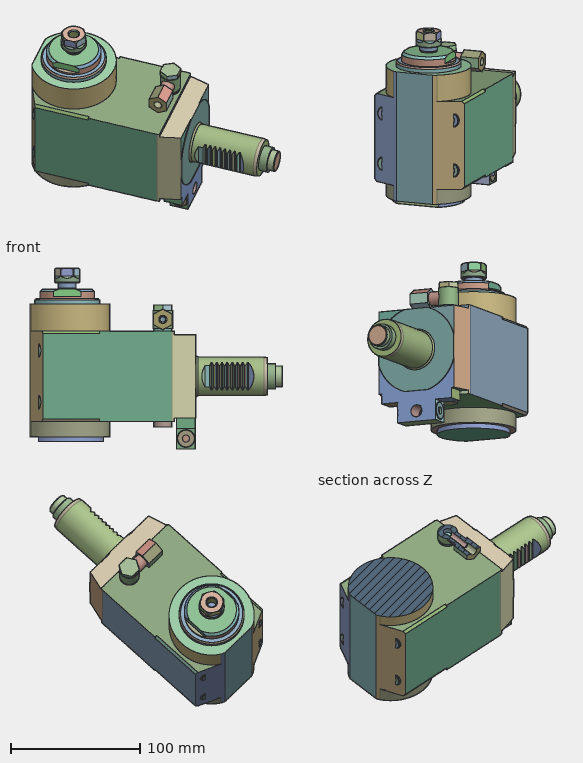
import cadquery as cq
import math


BLOCK_HALF_WIDTH = 75.0 / 2
BLOCK_HALF_HEIGHT = 35.0
FLAT_FACE_X = -29.0
FLAT_HALF_WIDTH = 15.0
CORNER_FACE_X = -18.8
TAPER_START_X = 81.1
STEP_X = 83.1
NECK_END_X = 99.4
NECK_HALF_WIDTH = 32.5
NECK_HALF_HEIGHT = 32.3
EDGE_CHAMFER = 2.0
EDGE_CHAMFER_END_X = 24.9
END_DISC_RADIUS = 34.0
SHOULDER_X = 100.0

HOUSING_RADIUS = 66.0 / 2
HOUSING_TOP = 56.0
HOUSING_BOTTOM = -46.8
COVER_RADIUS = 28.2
COVER_BOTTOM = -50.5
COVER_FLAT_X = -22.3

FLANGE_RADIUS = 25.3
FLANGE_TOP = 60.2
FLANGE_CHAMFER = 1.2
NUT_RADIUS = 21.2
NUT_TOP = 67.6
NUT_CHAMFER = 2.0
NUT_FLAT_HALF_WIDTH = 18.2
NUT_FLAT_BOTTOM = 61.7
STEM_RADIUS = 14.0 / 2
STEM_NECK_RADIUS = 6.5
STEM_NECK_TOP = 68.6

SCREW_HEAD_RADIUS = 9.8
SCREW_HEAD_BOTTOM = 72.3
SCREW_FLAT_BOTTOM = 77.6
SCREW_TOP = 83.9
SCREW_ACROSS_FLATS = 17.2
SCREW_COLLAR_ACROSS_FLATS = 20.0
SCREW_RUN_OUT = 2.0
SCREW_TOP_CHAMFER = 1.0
SCREW_BOTTOM_CHAMFER = 0.5
SCREW_BORE_RADIUS = 3.7
SCREW_BORE_CHAMFER = 0.8
SCREW_BORE_DEPTH = 9.8

FACE_SCREW_RADIUS = 6.0
FACE_SCREW_Y = 27.8
FACE_SCREW_Z = 20.0
FACE_SCREW_X = -22.3
FACE_SCREW_LENGTH = 9.8
FACE_SCREW_CHAMFER = 0.5
FACE_SOCKET_ACROSS_FLATS = 5.0
FACE_SOCKET_DEPTH = 3.0

SHANK_RADIUS = 30.0 / 2
SHANK_END_X = 155.0
SHANK_END_LENGTH = 2.7
SHANK_END_RADIUS = 14.5
COLLAR_END_RADIUS = 16.0
SHANK_COLLAR_LENGTH = 1.5
PILOT_RADIUS = 19.8 / 2
PILOT_END_X = 161.5
DRIVE_RADIUS = 16.3 / 2
DRIVE_END_X = 167.0
DRIVE_CHAMFER = 0.5

TOOTH_TIP_Y = -12.5
TOOTH_DEPTH = 1.86
GROOVE_COUNT = 8
FIRST_GROOVE_X = 112.0
LAST_GROOVE_X = 140.0
TOOTH_PITCH = (LAST_GROOVE_X - FIRST_GROOVE_X) / (GROOVE_COUNT - 1)
GROOVE_TOP_WIDTH = 3.1
GROOVE_BOTTOM_WIDTH = 0.8
FLAT_START_X = 106.8

ELBOW_X = 74.0
ELBOW_Y = 15.0
ELBOW_RADIUS = 15.5 / 2
ELBOW_BASE_RADIUS = 7.0
ELBOW_BOTTOM = 37.0
ELBOW_TOP = 51.2
ELBOW_HEAD_TOP = 55.3
ELBOW_ACROSS_FLATS = 14.1
ARM_RADIUS = 10.8 / 2
ARM_NUT_BACK_Y = 0.4
ARM_NUT_FRONT_Y = -14.7
ARM_HOLE_RADIUS = 2.2
ARM_MOUTH_RADIUS = 3.1
ARM_MOUTH_DEPTH = 9.8
POST_BORE_RADIUS = 3.1
POST_BORE_HALF_HEIGHT = 4.0
PLUG_BOTTOM = -39.4

BRACKET_START_X = 84.7
BRACKET_HALF_WIDTH = 16.5
BRACKET_FOOT_HALF_WIDTH = 30.2
BRACKET_BOTTOM = -56.5
BRACKET_FOOT_BOTTOM = -40.4
BRACKET_HOLE_RADIUS = 4.7
KNOB_Z = -48.2
KNOB_RADIUS = 6.9
KNOB_PROUD = 0.4
KNOB_HOLE_RADIUS = 2.7
KNOB_HOLE_DEPTH = 2.0

CORNER_SCALE = 1 / math.cos(math.pi / 6)
FACET_TURN = 30
OVERLAP = 2.0
CUT_SIZE = 117.6


def along_x(radius, start, end, y=0.0, z=0.0):
    return cq.Workplane("YZ", origin=(start, y, z)).circle(radius).extrude(end - start)


def along_y(radius, start, end, x=0.0, z=0.0):
    return cq.Workplane("XZ", origin=(x, start, z)).circle(radius).extrude(start - end)


def along_z(radius, start, end, x=0.0, y=0.0):
    return cq.Workplane("XY", origin=(x, y, start)).circle(radius).extrude(end - start)


def box(x_range, y_range, z_range):
    size = [high - low for low, high in (x_range, y_range, z_range)]
    corner = (x_range[0], y_range[0], z_range[0])
    return cq.Workplane("XY").box(*size, centered=False).translate(corner)


def hexagon(plane, origin, across_flats, length, turn=0.0):
    """Hexagonal prism; turn is the rotation of its corners in degrees."""
    corner_diameter = across_flats * CORNER_SCALE
    work = cq.Workplane(plane, origin=origin)
    return work.transformed(rotate=(0, 0, turn)).polygon(6, corner_diameter).extrude(length)


def plan_outline():
    """Outline seen along Z: slanted left corners and a tapering neck."""
    half = [
        (FLAT_FACE_X, FLAT_HALF_WIDTH),
        (CORNER_FACE_X, BLOCK_HALF_WIDTH),
        (TAPER_START_X, BLOCK_HALF_WIDTH),
        (NECK_END_X, NECK_HALF_WIDTH),
    ]
    mirrored = [(x, -y) for x, y in reversed(half)]
    return cq.Workplane("XY").polyline(half + mirrored).close()


def make_block():
    full = plan_outline().extrude(BLOCK_HALF_HEIGHT, both=True)
    neck_height = (-NECK_HALF_HEIGHT, NECK_HALF_HEIGHT)
    across = (-CUT_SIZE, CUT_SIZE)
    main = box((FLAT_FACE_X, STEP_X), across, across)
    neck = box((STEP_X, NECK_END_X), across, neck_height)
    block = full.intersect(main.union(neck))
    leg = EDGE_CHAMFER
    for side_y in (1, -1):
        for side_z in (1, -1):
            y = side_y * BLOCK_HALF_WIDTH
            z = side_z * BLOCK_HALF_HEIGHT
            corner = [(y, z), (y - side_y * leg, z), (y, z - side_z * leg)]
            wedge = cq.Workplane("YZ", origin=(FLAT_FACE_X, 0, 0)).polyline(corner).close()
            block = block.cut(wedge.extrude(EDGE_CHAMFER_END_X - FLAT_FACE_X))
    end_disc = along_x(END_DISC_RADIUS, NECK_END_X - OVERLAP, SHOULDER_X)
    disc_bounds = box((0, CUT_SIZE), (-NECK_HALF_WIDTH, NECK_HALF_WIDTH), neck_height)
    return block.union(end_disc.intersect(disc_bounds))


def make_housing():
    barrel = along_z(HOUSING_RADIUS, HOUSING_BOTTOM, HOUSING_TOP)
    trimmed = barrel.intersect(plan_outline().extrude(CUT_SIZE, both=True))
    cover = along_z(COVER_RADIUS, COVER_BOTTOM, HOUSING_BOTTOM + OVERLAP)
    cover_bounds = box((COVER_FLAT_X, CUT_SIZE), (-CUT_SIZE, CUT_SIZE), (-CUT_SIZE, CUT_SIZE))
    return trimmed.union(cover.intersect(cover_bounds))


def make_spindle_nose():
    flange = along_z(FLANGE_RADIUS, HOUSING_TOP - OVERLAP, FLANGE_TOP)
    flange = flange.faces(">Z").chamfer(FLANGE_CHAMFER)
    nut = along_z(NUT_RADIUS, FLANGE_TOP - OVERLAP, NUT_TOP).faces(">Z").chamfer(NUT_CHAMFER)
    for y_range in ((NUT_FLAT_HALF_WIDTH, CUT_SIZE), (-CUT_SIZE, -NUT_FLAT_HALF_WIDTH)):
        nut = nut.cut(box((-CUT_SIZE, CUT_SIZE), y_range, (NUT_FLAT_BOTTOM, CUT_SIZE)))
    stem_neck = along_z(STEM_NECK_RADIUS, NUT_TOP - OVERLAP, STEM_NECK_TOP)
    stem = along_z(STEM_RADIUS, STEM_NECK_TOP, SCREW_HEAD_BOTTOM + OVERLAP)
    return flange.union(nut).union(stem_neck).union(stem).union(make_screw_head())


def make_screw_head():
    """Round head with six flats that slope out into a collar at the bottom."""
    run_out_bottom = SCREW_FLAT_BOTTOM - SCREW_RUN_OUT
    flats = hexagon("XY", (0, 0, SCREW_FLAT_BOTTOM), SCREW_ACROSS_FLATS, SCREW_TOP - SCREW_FLAT_BOTTOM)
    run_out = (
        cq.Workplane("XY", origin=(0, 0, run_out_bottom))
        .polygon(6, SCREW_COLLAR_ACROSS_FLATS * CORNER_SCALE)
        .workplane(offset=SCREW_RUN_OUT)
        .polygon(6, SCREW_ACROSS_FLATS * CORNER_SCALE)
        .loft(ruled=True)
    )
    collar = along_z(SCREW_HEAD_RADIUS, SCREW_HEAD_BOTTOM, run_out_bottom)
    bounds = along_z(SCREW_HEAD_RADIUS, SCREW_HEAD_BOTTOM, SCREW_TOP)
    bounds = bounds.faces(">Z").chamfer(SCREW_TOP_CHAMFER)
    bounds = bounds.faces("<Z").chamfer(SCREW_BOTTOM_CHAMFER)
    head = collar.union(run_out).union(flats).intersect(bounds)
    bore_bottom = SCREW_TOP - SCREW_BORE_DEPTH
    bore_profile = [
        (0, SCREW_TOP),
        (SCREW_BORE_RADIUS + SCREW_BORE_CHAMFER, SCREW_TOP),
        (SCREW_BORE_RADIUS, SCREW_TOP - SCREW_BORE_CHAMFER),
        (SCREW_BORE_RADIUS, bore_bottom),
        (0, bore_bottom),
    ]
    bore = cq.Workplane("XZ").polyline(bore_profile).close().revolve(360, (0, 0, 0), (0, 1, 0))
    return head.cut(bore)


def add_face_screws(body):
    for y in (FACE_SCREW_Y, -FACE_SCREW_Y):
        for z in (FACE_SCREW_Z, -FACE_SCREW_Z):
            end = FACE_SCREW_X + FACE_SCREW_LENGTH
            screw = along_x(FACE_SCREW_RADIUS, FACE_SCREW_X, end, y, z)
            screw = screw.faces("<X").chamfer(FACE_SCREW_CHAMFER)
            origin = (FACE_SCREW_X, y, z)
            socket = hexagon("YZ", origin, FACE_SOCKET_ACROSS_FLATS, FACE_SOCKET_DEPTH, FACET_TURN)
            body = body.union(screw.cut(socket))
    return body


def make_shank():
    slim_start = SHANK_END_X - SHANK_END_LENGTH
    collar_end = SHOULDER_X + SHANK_COLLAR_LENGTH
    profile = [
        (SHOULDER_X - OVERLAP, 0),
        (SHOULDER_X - OVERLAP, COLLAR_END_RADIUS),
        (SHOULDER_X, COLLAR_END_RADIUS),
        (collar_end, SHANK_RADIUS),
        (slim_start, SHANK_RADIUS),
        (SHANK_END_X, SHANK_END_RADIUS),
        (SHANK_END_X, PILOT_RADIUS),
        (PILOT_END_X, PILOT_RADIUS),
        (PILOT_END_X, DRIVE_RADIUS),
        (DRIVE_END_X - DRIVE_CHAMFER, DRIVE_RADIUS),
        (DRIVE_END_X, DRIVE_RADIUS - DRIVE_CHAMFER),
        (DRIVE_END_X, 0),
    ]
    turned = cq.Workplane("XY").polyline(profile).close().revolve(360, (0, 0, 0), (1, 0, 0))
    return turned.cut(make_tooth_cut())


def make_tooth_cut():
    """Flat with 45 degree run-outs, and trapezoidal grooves cut into it."""
    root_y = TOOTH_TIP_Y + TOOTH_DEPTH
    outside_y = -SHANK_RADIUS - OVERLAP
    end_x = LAST_GROOVE_X + GROOVE_BOTTOM_WIDTH / 2
    start_run = TOOTH_TIP_Y - outside_y
    end_run = root_y - outside_y
    outline = [(FLAT_START_X - start_run, outside_y), (FLAT_START_X, TOOTH_TIP_Y)]
    for index in range(GROOVE_COUNT):
        x = FIRST_GROOVE_X + index * TOOTH_PITCH
        outline.append((x - GROOVE_TOP_WIDTH / 2, TOOTH_TIP_Y))
        outline.append((x - GROOVE_BOTTOM_WIDTH / 2, root_y))
        outline.append((x + GROOVE_BOTTOM_WIDTH / 2, root_y))
        if index < GROOVE_COUNT - 1:
            outline.append((x + GROOVE_TOP_WIDTH / 2, TOOTH_TIP_Y))
    outline.append((end_x + end_run, outside_y))
    return cq.Workplane("XY").polyline(outline).close().extrude(SHANK_RADIUS, both=True)


def make_elbow():
    axis = (ELBOW_X, ELBOW_Y)
    base = along_z(ELBOW_BASE_RADIUS, BLOCK_HALF_HEIGHT - OVERLAP, ELBOW_BOTTOM + OVERLAP, *axis)
    post = along_z(ELBOW_RADIUS, ELBOW_BOTTOM, ELBOW_TOP, *axis)
    head_length = ELBOW_HEAD_TOP - ELBOW_TOP
    head = hexagon("XY", (*axis, ELBOW_TOP), ELBOW_ACROSS_FLATS, head_length, FACET_TURN)
    arm_z = (ELBOW_BOTTOM + ELBOW_TOP) / 2
    arm = along_y(ARM_RADIUS, ELBOW_Y, ARM_NUT_BACK_Y - OVERLAP, ELBOW_X, arm_z)
    nut_length = ARM_NUT_BACK_Y - ARM_NUT_FRONT_Y
    nut = hexagon("XZ", (ELBOW_X, ARM_NUT_BACK_Y, arm_z), ELBOW_ACROSS_FLATS, nut_length, FACET_TURN)
    elbow = base.union(post).union(head).union(arm).union(nut)
    hole = along_y(ARM_HOLE_RADIUS, ELBOW_Y, ARM_NUT_FRONT_Y, ELBOW_X, arm_z)
    mouth_end_y = ARM_NUT_FRONT_Y + ARM_MOUTH_DEPTH
    mouth = along_y(ARM_MOUTH_RADIUS, mouth_end_y, ARM_NUT_FRONT_Y, ELBOW_X, arm_z)
    bore_bottom = arm_z - POST_BORE_HALF_HEIGHT
    bore_top = arm_z + POST_BORE_HALF_HEIGHT
    bore = along_z(POST_BORE_RADIUS, bore_bottom, bore_top, *axis)
    return elbow.cut(hole).cut(mouth).cut(bore)


def make_plug():
    return along_z(ELBOW_BASE_RADIUS, PLUG_BOTTOM, OVERLAP - BLOCK_HALF_HEIGHT, ELBOW_X, ELBOW_Y)


def make_bracket():
    x_range = (BRACKET_START_X, NECK_END_X)
    width = (-BRACKET_HALF_WIDTH, BRACKET_HALF_WIDTH)
    bracket = box(x_range, width, (BRACKET_BOTTOM, OVERLAP - NECK_HALF_HEIGHT))
    foot_width = (-BRACKET_FOOT_HALF_WIDTH, BRACKET_FOOT_HALF_WIDTH)
    foot = box(x_range, foot_width, (BRACKET_FOOT_BOTTOM, OVERLAP - NECK_HALF_HEIGHT))
    bracket = bracket.union(foot)
    knob_x = (BRACKET_START_X + NECK_END_X) / 2
    knob_end = BRACKET_HALF_WIDTH + KNOB_PROUD
    knob = along_y(KNOB_RADIUS, knob_end, -knob_end, knob_x, KNOB_Z)
    knob = knob.faces("<Y or >Y").chamfer(KNOB_PROUD)
    bracket = bracket.union(knob)
    recess_floor = knob_end - KNOB_HOLE_DEPTH
    for start, end in ((knob_end, recess_floor), (-recess_floor, -knob_end)):
        bracket = bracket.cut(along_y(KNOB_HOLE_RADIUS, start, end, knob_x, KNOB_Z))
    return bracket.cut(along_x(BRACKET_HOLE_RADIUS, BRACKET_START_X, NECK_END_X, 0, KNOB_Z))


body = make_block().union(make_housing()).union(make_spindle_nose())
body = add_face_screws(body)
body = body.union(make_shank()).union(make_elbow()).union(make_plug())
result = body.union(make_bracket())